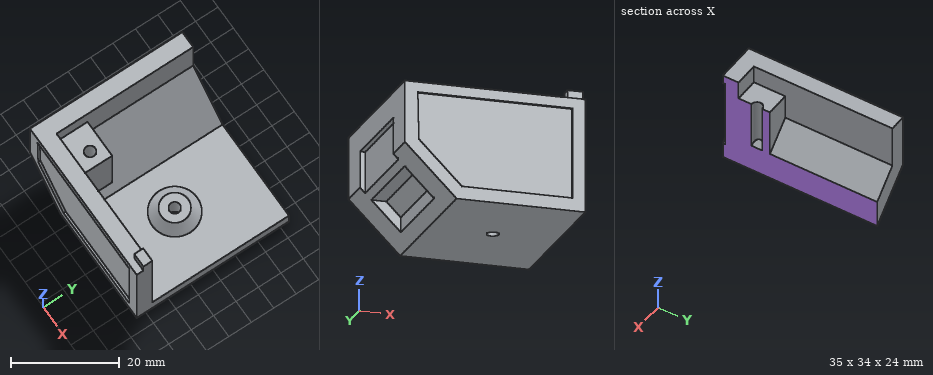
import cadquery as cq

length = 35.0
width = 34.0
height = 22.0
corner_cut = 10.0

side_wall = 3.6
front_wall = 3.5
floor_thickness = 3.0
inner_slope_end = 13.2

front_margin = 2.5
front_recess_top = 20.0
front_recess_depth = 0.5
front_recess_lean = 0.2

left_recess_width = 20.0
left_recess_top = 17.0
left_recess_depth = 1.0
slot_bottom = 2.1
slot_top = 7.8
slot_depth = 2.05

peg_length = 3.0
peg_width = 2.0
peg_height = 2.0

post_length = 8.1
post_width = 6.9
post_top = 18.0
post_hole_x = 8.7
post_hole_y = 7.5
hole_diameter = 2.3

boss_x = 22.5
boss_y = width / 2
boss_base_diameter = 10.0
boss_top_diameter = 6.0
boss_height = 2.0

inner_slope_top = floor_thickness + inner_slope_end - side_wall


def prism_along_y(points, start_y, end_y):
    """Extrude an XZ outline between two Y positions."""
    outline = cq.Workplane("XZ", origin=(0, start_y, 0)).polyline(points).close()
    return outline.extrude(start_y - end_y)


def make_shell():
    """Outer body cut away inside, leaving the left wall, front wall, floor and inner slope."""
    outer = prism_along_y(
        [(corner_cut, 0), (length, 0), (length, height), (0, height), (0, corner_cut)],
        0,
        width,
    )
    cavity = prism_along_y(
        [
            (inner_slope_end, floor_thickness),
            (length, floor_thickness),
            (length, height),
            (side_wall, height),
            (side_wall, inner_slope_top),
        ],
        front_wall,
        width,
    )
    return outer.cut(cavity)


def make_front_recess():
    """Shallow recess whose lower left edge runs parallel to the outer slope."""
    slope_sum = corner_cut + front_margin * 2**0.5
    lower_x = front_margin + front_recess_lean
    return prism_along_y(
        [
            (slope_sum - front_margin, front_margin),
            (length - front_margin, front_margin),
            (length - front_margin, front_recess_top),
            (front_margin, front_recess_top),
            (lower_x, slope_sum - lower_x),
        ],
        0,
        front_recess_depth,
    )


def make_left_recess():
    """Recess that opens downwards through the outer slope."""
    recess = cq.Workplane("XY").box(
        left_recess_depth, left_recess_width, left_recess_top, centered=(False, True, False)
    )
    return recess.translate((0, width / 2, 0))


def make_slope_slot():
    """Slot in the outer slope with a level top, an upright lower wall and a bottom along the slope."""
    bottom_sum = corner_cut + slot_depth * 2**0.5
    lower_x = corner_cut - slot_bottom
    return prism_along_y(
        [
            (lower_x, slot_bottom),
            (lower_x, bottom_sum - lower_x),
            (bottom_sum - slot_top, slot_top),
            (corner_cut - slot_top, slot_top),
        ],
        (width - left_recess_width) / 2,
        (width + left_recess_width) / 2,
    )


def make_peg():
    """Peg flush with the inner face of the front wall and with the right end."""
    peg = cq.Workplane("XY").box(peg_length, peg_width, peg_height, centered=False)
    return peg.translate((length - peg_length, front_wall - peg_width, height))


def make_post():
    """Post standing on the inner slope, with a screw hole that ends on the slope."""
    post_end = side_wall + post_length
    slope_at_end = inner_slope_top - post_length
    post = prism_along_y(
        [
            (side_wall, inner_slope_top),
            (side_wall, post_top),
            (post_end, post_top),
            (post_end, slope_at_end),
        ],
        front_wall,
        front_wall + post_width,
    )
    hole = cq.Workplane("XY", origin=(post_hole_x, post_hole_y, 0)).circle(hole_diameter / 2)
    return post.cut(hole.extrude(height))


def make_boss():
    """Truncated cone standing on the floor."""
    return (
        cq.Workplane("XY", origin=(boss_x, boss_y, floor_thickness))
        .circle(boss_base_diameter / 2)
        .workplane(offset=boss_height)
        .circle(boss_top_diameter / 2)
        .loft()
    )


def make_boss_hole():
    """Hole through the boss and the floor."""
    hole = cq.Workplane("XY", origin=(boss_x, boss_y, 0)).circle(hole_diameter / 2)
    return hole.extrude(floor_thickness + boss_height)


result = make_shell().union(make_post()).union(make_boss()).union(make_peg())
result = result.cut(make_boss_hole())
result = result.cut(make_front_recess())
result = result.cut(make_left_recess())
result = result.cut(make_slope_slot())